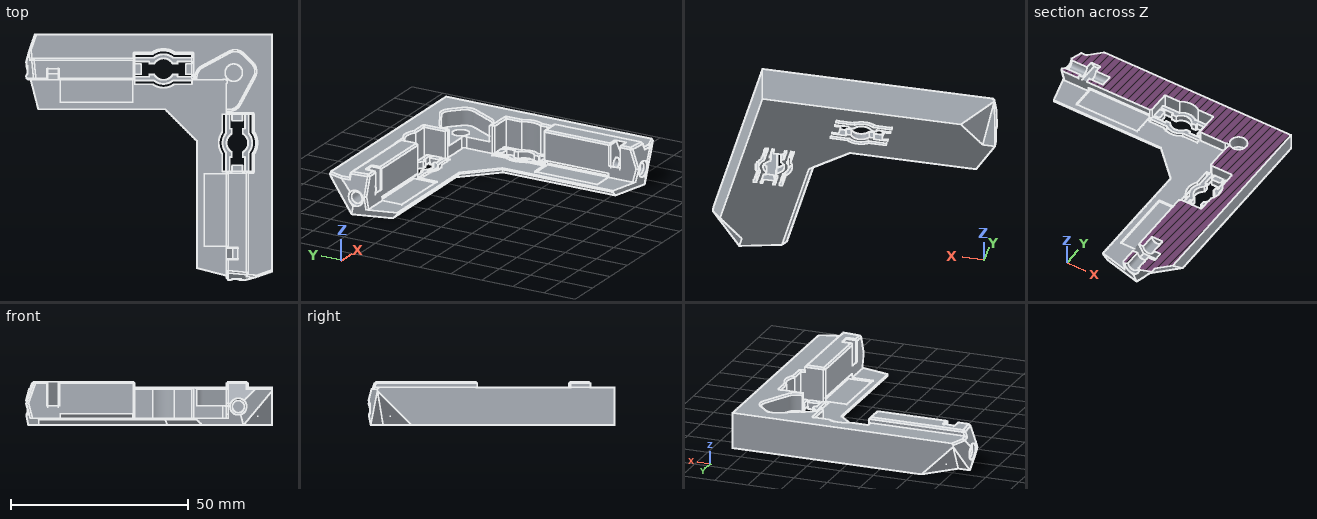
import cadquery as cq
import math


flange_width = 21.1
flange_height = 2.0
flange_chamfer = 1.5
inner_corner_cut = 8.9

body_width = 12.8
body_height = 10.6
ridge_outer = 6.75
ridge_start = 38.5
ridge_top = 12.2
edge_chamfer = 0.5
corner_relief_diameter = 1.5
tolerance = 0.01

tip_u = 69.54
tip_v = 9.47
tip_z = 5.35
facet_tilt = 20.0
facet_directions = (15.0, 135.0, 255.0)
arm_stock_length = 75.0
cutter_size = 90.0
margin = 1.0

pin_hole_z = 5.2
pin_hole_diameter = 3.4
pin_mouth_diameter = 4.7
pin_hole_depth = 14.0

relief_width = 8.0
relief_height = 9.6
relief_start = 57.0

clip_center_u = 30.5
clip_center_v = 9.75
clip_half_length = 8.0
pocket_half_width = 4.2
pocket_bulge_radius = 5.2
beam_outer_half_width = 3.25
beam_outer_radius = 4.2
beam_inner_half_width = 2.1
beam_inner_radius = 3.0
jaw_half_width = 1.5
jaw_half_length = 4.0
tab_half_width = 1.5
tab_length = 1.8
tab_corner_radius = 0.3

corner_floor = 5.4
corner_reach = 21.1
corner_shoulder = 10.17
corner_apex_u = 9.85
corner_apex_v = 4.12
corner_radius = 3.0
corner_hole_center = 10.75
corner_hole_diameter = 4.9
corner_hole_depth = 4.0

slot_start = 60.1
slot_end = 63.0
slot_top_v = 9.6
slot_sill = 5.5
slot_floor = 2.55
slot_slant = 30.0
slot_mouth_inner = (0.5, 0.23)
slot_mouth_outer = (0.3, 0.4)
slot_top_chamfer = 0.35

recess_start = 39.2
recess_end = 59.45
recess_width = 19.1
recess_depth = 0.5
undercut_top = 3.2


def mirrored(shape):
    """Return the shape reflected onto the other arm."""
    return shape.mirror(cq.Vector(1, -1, 0))


def upright(points, z_low, z_high):
    """Vertical prism over a polygon of (u, v) points."""
    corners = [(-u, -v) for u, v in points]
    return cq.Workplane("XY").workplane(offset=z_low).polyline(corners).close().extrude(z_high - z_low)


def lengthwise(points, u_low, u_high):
    """Prism along the arm over a polygon of (v, z) points."""
    corners = [(-v, z) for v, z in points]
    return cq.Workplane("YZ", origin=(-u_high, 0, 0)).polyline(corners).close().extrude(u_high - u_low)


def crosswise(points, v_low, v_high):
    """Prism across the arm over a polygon of (u, z) points."""
    corners = [(-u, z) for u, z in points]
    return cq.Workplane("XZ", origin=(0, -v_low, 0)).polyline(corners).close().extrude(v_high - v_low)


def rectangle(u_low, u_high, v_low, v_high):
    return [(u_low, v_low), (u_high, v_low), (u_high, v_high), (u_low, v_high)]


def end_cutters():
    """Blocks lying outside the three facets of the arm end."""
    tilt = math.radians(facet_tilt)
    cutters = []
    for angle in facet_directions:
        direction = math.radians(angle)
        normal = (
            -math.cos(tilt),
            math.sin(tilt) * math.cos(direction),
            -math.sin(tilt) * math.sin(direction),
        )
        facet = cq.Plane(origin=(-tip_u, -tip_v, tip_z), xDir=(0, normal[2], -normal[1]), normal=normal)
        cutters.append(cq.Workplane(facet).rect(cutter_size, cutter_size).extrude(cutter_size / 3))
    return cutters


def trim_end(arm):
    for cutter in end_cutters():
        arm = arm.cut(cutter)
    return arm


def flange():
    """Bottom plate of both arms with its inner edges chamfered from below."""
    cut_end = flange_width + inner_corner_cut
    outline = [
        (0, 0),
        (arm_stock_length, 0),
        (arm_stock_length, flange_width),
        (cut_end, flange_width),
        (flange_width, cut_end),
        (flange_width, arm_stock_length),
        (0, arm_stock_length),
    ]
    plate = upright(outline, 0, flange_height)
    middle = (flange_width + cut_end) / 2
    far = (arm_stock_length + cut_end) / 2
    edges = cq.Workplane("XY")
    for u, v in ((far, flange_width), (middle, middle), (flange_width, far)):
        edges = edges.add(plate.edges(cq.selectors.NearestToPointSelector((-u, -v, 0))))
    return plate.newObject(edges.vals()).chamfer(flange_chamfer)


def is_exposed_ridge_edge(edge):
    """Tell whether an edge runs round the arm end, along the ridge top or down the ridge start."""
    ends = (edge.startPoint(), edge.endPoint())
    on_rim = all(p.z > body_height - tolerance or p.y < -body_width + tolerance for p in ends)
    at_arm_end = all(p.x < -slot_end for p in ends)
    on_ridge_top = all(p.z > ridge_top - tolerance for p in ends)
    at_ridge_start = all(p.x > -ridge_start - tolerance and p.y < -body_width + tolerance for p in ends)
    return on_rim and (at_arm_end or on_ridge_top or at_ridge_start)


def body():
    """Raised body of one arm, with the ridge and its chamfered edges."""
    low_section = rectangle(0, body_width, flange_height, body_height)
    ridge_section = [
        (0, flange_height),
        (body_width, flange_height),
        (body_width, ridge_top),
        (ridge_outer, ridge_top),
        (ridge_outer, body_height),
        (0, body_height),
    ]
    low = lengthwise(low_section, 0, ridge_start)
    high = trim_end(lengthwise(ridge_section, ridge_start, arm_stock_length))
    exposed = [edge for edge in high.edges().vals() if is_exposed_ridge_edge(edge)]
    high = high.newObject(exposed).chamfer(edge_chamfer)
    return low.union(high)


def pin_hole():
    """Blind hole in the arm end with a counterbored mouth and a conical step."""
    hole_radius = pin_hole_diameter / 2
    mouth_radius = pin_mouth_diameter / 2
    mouth_end = tip_u - mouth_radius * math.tan(math.radians(facet_tilt))
    cone_end = mouth_end - (mouth_radius - hole_radius)
    profile = [
        (-tip_u, 0),
        (-tip_u, mouth_radius),
        (-mouth_end, mouth_radius),
        (-cone_end, hole_radius),
        (-tip_u + pin_hole_depth, hole_radius),
        (-tip_u + pin_hole_depth, 0),
    ]
    axis = cq.Workplane("XY", origin=(0, -tip_v, pin_hole_z))
    return axis.polyline(profile).close().revolve(360, (0, 0, 0), (1, 0, 0))


def end_relief():
    """Triangular relief under the outer side, stopped by a wall sloping in all three directions."""
    section = [(0, 0), (relief_width, 0), (0, relief_height)]
    prism = lengthwise(section, relief_start, arm_stock_length)
    wall = cq.Plane(origin=(-relief_start, 0, 0), xDir=(1, 1, 0), normal=(1, -1, 1))
    solid_side = cq.Workplane(wall).rect(cutter_size, cutter_size).extrude(cutter_size)
    return prism.cut(solid_side)


def bulged_outline(half_width, bulge_radius, z):
    """Closed outline along the clip with a round bulge in the middle of both long sides."""
    half_chord = math.sqrt(bulge_radius**2 - half_width**2)
    plane = cq.Workplane("XY", origin=(-clip_center_u, -clip_center_v, z))
    return (
        plane.moveTo(-clip_half_length, -half_width)
        .lineTo(-half_chord, -half_width)
        .threePointArc((0, -bulge_radius), (half_chord, -half_width))
        .lineTo(clip_half_length, -half_width)
        .lineTo(clip_half_length, half_width)
        .lineTo(half_chord, half_width)
        .threePointArc((0, bulge_radius), (-half_chord, half_width))
        .lineTo(-clip_half_length, half_width)
        .close()
    )


def clip_openings():
    """Through openings in the flange that leave two spring beams and two end tabs."""
    outer = bulged_outline(pocket_half_width, pocket_bulge_radius, 0).extrude(flange_height)
    beams = bulged_outline(beam_outer_half_width, beam_outer_radius, 0).extrude(flange_height)
    center = cq.Workplane("XY", origin=(-clip_center_u, -clip_center_v, 0))
    window = center.circle(beam_inner_radius).extrude(flange_height)
    window = window.union(center.rect(2 * jaw_half_length, 2 * jaw_half_width).extrude(flange_height))
    tab_center = clip_half_length - tab_length / 2
    for side in (-1, 1):
        bay_center = side * (clip_half_length + jaw_half_length) / 2
        bay_size = (clip_half_length - jaw_half_length, 2 * beam_inner_half_width)
        bay = center.center(bay_center, 0).rect(*bay_size).extrude(flange_height)
        tab = center.center(side * tab_center, 0).rect(tab_length, 2 * tab_half_width).extrude(flange_height)
        free_end = "<X" if side > 0 else ">X"
        tab = tab.faces(free_end).edges("|Z").fillet(tab_corner_radius)
        window = window.union(bay.cut(tab))
    return outer.cut(beams).union(window)


def clip_pocket():
    """Pocket in the body above the clip, with chamfered upper and side edges."""
    chamfer_base = body_height - edge_chamfer
    pocket = bulged_outline(pocket_half_width, pocket_bulge_radius, flange_height)
    pocket = pocket.extrude(ridge_top - flange_height)
    rim = bulged_outline(pocket_half_width, pocket_bulge_radius, chamfer_base)
    rim = rim.extrude(edge_chamfer, taper=-45)
    ridge_block = rectangle(ridge_start, ridge_start + margin, ridge_outer, flange_width)
    rim = rim.cut(upright(ridge_block, chamfer_base, ridge_top))
    end = clip_center_u - clip_half_length
    side_chamfer = [(end, body_width - edge_chamfer), (end, body_width), (end - edge_chamfer, body_width)]
    return pocket.union(rim).union(upright(side_chamfer, flange_height, body_height))


def corner_pocket():
    """Rounded kite-shaped pocket at the corner, open to the inside, with a blind hole in its floor."""
    open_side = body_width + margin
    corners = [
        (open_side, open_side),
        (corner_reach, open_side),
        (corner_reach, corner_shoulder),
        (corner_apex_u, corner_apex_v),
        (corner_apex_v, corner_apex_u),
        (corner_shoulder, corner_reach),
        (open_side, corner_reach),
    ]
    prism = upright(corners, corner_floor, body_height)
    rounded = cq.Workplane("XY")
    for u, v in corners[2:6]:
        nearest = cq.selectors.NearestToPointSelector((-u, -v, (corner_floor + body_height) / 2))
        rounded = rounded.add(prism.edges("|Z").edges(nearest))
    prism = prism.newObject(rounded.vals()).fillet(corner_radius)
    rim_bottom = body_height - edge_chamfer
    outline = prism.faces("<Z").wires().val().translate(cq.Vector(0, 0, rim_bottom - corner_floor))
    rim = cq.Workplane("XY", origin=(0, 0, rim_bottom)).add(outline).toPending()
    rim = rim.extrude(edge_chamfer, taper=-45)
    hole_bottom = (-corner_hole_center, -corner_hole_center, corner_floor - corner_hole_depth)
    hole = cq.Workplane("XY", origin=hole_bottom).circle(corner_hole_diameter / 2).extrude(corner_hole_depth)
    return prism.union(rim).union(hole)


def corner_relief():
    """Small round relief passing through the inner corner of the body walls."""
    radius = corner_relief_diameter / 2
    center = body_width + radius / math.sqrt(2)
    base = cq.Workplane("XY", origin=(-center, -center, flange_height))
    return base.circle(radius).extrude(corner_floor - flange_height)


def slanted_slot():
    """Slot entering the ridge from above and leaning outward as it goes down."""
    slant = math.tan(math.radians(slot_slant))
    section = [
        (body_width, slot_sill),
        (body_width - (slot_sill - slot_floor) * slant, slot_floor),
        (slot_top_v - (ridge_top - slot_floor) * slant, slot_floor),
        (slot_top_v, ridge_top),
        (body_width, ridge_top),
    ]
    inner_length, inner_depth = slot_mouth_inner
    outer_length, outer_depth = slot_mouth_outer
    mouth = [
        (slot_start - inner_length, body_width),
        (slot_start, body_width - inner_depth),
        (slot_end, body_width - outer_depth),
        (slot_end + outer_length, body_width),
    ]
    rim_bottom = ridge_top - slot_top_chamfer
    rim = [
        (slot_start - slot_top_chamfer, ridge_top),
        (slot_start, rim_bottom),
        (slot_end, rim_bottom),
        (slot_end + slot_top_chamfer, ridge_top),
    ]
    slot = lengthwise(section, slot_start, slot_end)
    slot = slot.union(upright(mouth, slot_sill, ridge_top))
    return slot.union(crosswise(rim, slot_top_v, body_width))


def flange_recess():
    """Shallow recess in the flange, continued as a 45 degree undercut below the ridge."""
    floor = flange_height - recess_depth
    undercut_reach = undercut_top - flange_height
    section = [
        (recess_width, floor),
        (body_width - undercut_reach, floor),
        (body_width - undercut_reach, flange_height),
        (body_width, undercut_top),
        (body_width, flange_height),
        (recess_width, flange_height),
    ]
    return lengthwise(section, recess_start, recess_end)


def make_part():
    part = flange()
    for cutter in end_cutters():
        part = part.cut(cutter).cut(mirrored(cutter))
    arm = body()
    part = part.union(arm).union(mirrored(arm))
    for feature in (pin_hole, end_relief, clip_openings, clip_pocket, slanted_slot, flange_recess):
        cutter = feature()
        part = part.cut(cutter).cut(mirrored(cutter))
    return part.cut(corner_pocket()).cut(corner_relief())


result = make_part()